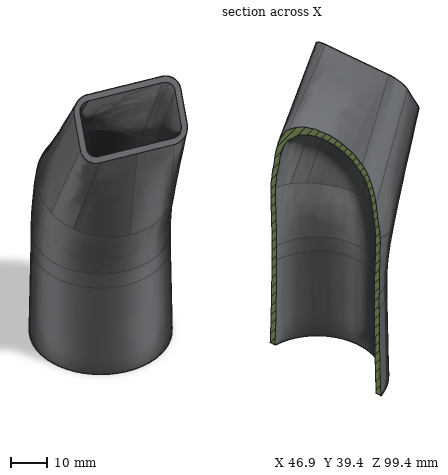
import cadquery as cq
import math

total_height = 99.35
total_length = 46.9
socket_diameter = 39.4
wall = 1.8

socket_radius = socket_diameter / 2
collar_radius = 19.2
socket_height = 30.0
collar_top = 35.0

neck_middle = (1.8, 48.4, 9.7)
neck_end = (3.7, 55.0, 15.7)

tip_length = 19.5
tip_width = 31.6
tip_corner = 4.8
tip_lean = 61.6
tip_reach = total_length - socket_radius
tip_x = tip_reach - tip_length / 2 * math.cos(math.radians(tip_lean))
tip_z = total_height - tip_length / 2 * math.sin(math.radians(tip_lean))


def leaning_plane(x, z, lean):
    """Plane centred at (x, 0, z) whose normal leans from +Z toward +X by lean degrees."""
    angle = math.radians(lean)
    down_slope = (math.cos(angle), 0, -math.sin(angle))
    normal = (math.sin(angle), 0, math.cos(angle))
    return cq.Plane(origin=(x, 0, z), xDir=down_slope, normal=normal)


def ring(x, z, lean, radius):
    """Circular section on a leaning plane."""
    return cq.Workplane(leaning_plane(x, z, lean)).circle(radius).wires().val()


def tip_section(inset):
    """Rounded rectangular section at the nozzle mouth."""
    outline = cq.Sketch().rect(tip_length - 2 * inset, tip_width - 2 * inset)
    outline = outline.vertices().fillet(tip_corner - inset)
    mouth = outline.reset().faces().vals()[0]
    return mouth.outerWire().moved(leaning_plane(tip_x, tip_z, tip_lean).location)


def body(inset):
    """Solid envelope of the spout, drawn inward by inset."""
    base = ring(0, 0, 0, socket_radius - inset)
    collar_start = ring(0, socket_height, 0, collar_radius - inset)
    collar_end = ring(0, collar_top, 0, collar_radius - inset)
    middle = ring(*neck_middle, collar_radius - inset)
    end = ring(*neck_end, collar_radius - inset)

    socket = cq.Solid.makeLoft([base, collar_start], True)
    collar = cq.Solid.makeLoft([collar_start, collar_end], True)
    neck = cq.Solid.makeLoft([collar_end, middle, end])
    nozzle = cq.Solid.makeLoft([end, tip_section(inset)], True)
    return cq.Workplane(socket).union(collar).union(neck).union(nozzle)


result = body(0).cut(body(wall))